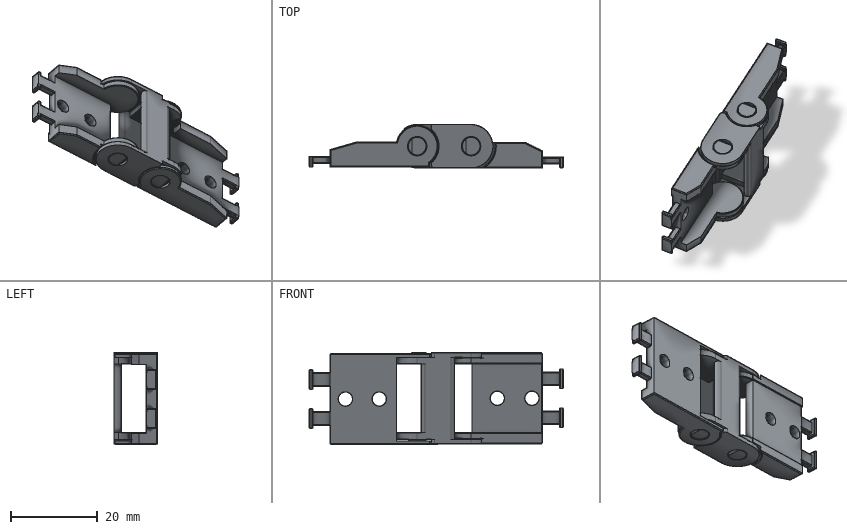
import cadquery as cq
import math


pivot_spacing = 12.45
left_pivot_x = -pivot_spacing / 2
right_pivot_x = pivot_spacing / 2
link_depth = 10.05
pivot_y = link_depth / 2
pin_radius = 2.05
pin_hole_radius = 2.25
ramp_offset = 1.25
ramp_angle = 38

half_width = 10.5
outer_ear_inside = 9.45
leaf_ear_inside = 9.65
inner_ear_outside = 9.3
inner_half_width = 7.95

link_ear_radius = link_depth / 2
link_shoulder = 3.3
shoulder_gap_radius = 5.05
shoulder_round = 0.7
inner_gap_radius = 5.15
inner_ear_end_x = 0.1
notch_corner = (-2.05, 1.6)
notch_wall_angle = 23
notch_floor_angle = 45
bar_thickness = 1.7
bar_left_x = -5.3
bar_right_x = 2.4

plate_thickness = 2.45
leaf_height = 5.8
hole_diameter = 3.25
edge_chamfer = 0.25

left_shift_y = 0.2
left_shift_z = -0.2
left_end_x = -26.3
left_plate_end = 4.75
left_slope_length = 10.4
left_slope_drop = 1.75
left_ear_radius = pivot_y - left_shift_y
left_ear_foot = 2.9
left_hole_distances = (3.5, 11.35)

right_end_x = 22.7
right_plate_start = 0.2
right_slope_length = 6.5
right_slope_drop = 1.9
right_ear_radius = 4.8
right_scallop_radius = 5.6
right_plate_recess = 0.2
right_hole_distances = (2.4, 10.4)

tab_reach = 4.9
tab_pitch = 9.0
tab_head_length = 0.95
tab_head_width = 4.6
tab_head_depth = 2.45
tab_stem_width = 3.2
tab_stem_depth = 1.6
tab_chamfer = 0.25


def slab(sketch, z_low, z_high):
    """Extrude a closed XY sketch from z_low up to z_high."""
    return sketch.extrude(z_high - z_low).translate((0, 0, z_low))


def box(x_range, y_range, z_range):
    """Axis-aligned box between the given limits."""
    size = [high - low for low, high in (x_range, y_range, z_range)]
    corner = (x_range[0], y_range[0], z_range[0])
    return cq.Workplane("XY").box(*size, centered=False).translate(corner)


def disc(x, radius, z_low, z_high, y=pivot_y):
    """Round disc at a pivot."""
    return slab(cq.Workplane("XY").center(x, y).circle(radius), z_low, z_high)


def both_sides(body):
    """A feature of the +Z side together with its mirror image on the -Z side."""
    return body.union(body.mirror("XY"))


def pin(x, z_low):
    """Pivot pin whose -X side has a lead-in ramp."""
    ramp_x = x - ramp_offset
    run = pin_radius
    drop = run * math.tan(math.radians(ramp_angle))
    ramp = (
        cq.Workplane("XZ")
        .polyline([(ramp_x, half_width), (ramp_x - run, half_width), (ramp_x - run, half_width - drop)])
        .close()
        .extrude(-link_depth)
    )
    return disc(x, pin_radius, z_low, half_width).cut(ramp)


def tab(outward):
    """T-shaped tab whose root lies on X = 0, Y = 0; outward is -1 for -X or 1 for +X."""
    stem = (
        cq.Workplane("XY")
        .box(tab_reach, tab_stem_depth, tab_stem_width)
        .edges("|X")
        .chamfer(tab_chamfer)
        .translate((outward * tab_reach / 2, tab_head_depth - tab_stem_depth / 2, 0))
    )
    head = (
        cq.Workplane("XY")
        .box(tab_head_length, tab_head_depth, tab_head_width)
        .edges("|Y or |Z")
        .chamfer(tab_chamfer)
        .translate((outward * (tab_reach - tab_head_length / 2), tab_head_depth / 2, 0))
    )
    return stem.union(head)


def add_end_features(leaf, end_x, outward, hole_distances):
    """Add both tabs at the outer end of a leaf and drill its screw holes."""
    for z in (-tab_pitch / 2, tab_pitch / 2):
        leaf = leaf.union(tab(outward).translate((end_x, 0, z)))
    for distance in hole_distances:
        drill = (
            cq.Workplane("XZ")
            .center(end_x - outward * distance, 0)
            .circle(hole_diameter / 2)
            .extrude(-link_depth)
        )
        leaf = leaf.cut(drill)
    return leaf


def cheek_outline(end_x, inner_x, slope_length, slope_drop, outward):
    """Side outline of a leaf cheek with a sloping outer end."""
    return (
        cq.Workplane("XY")
        .moveTo(inner_x, 0)
        .lineTo(end_x, 0)
        .lineTo(end_x, leaf_height - slope_drop)
        .lineTo(end_x - outward * slope_length, leaf_height)
        .lineTo(inner_x, leaf_height)
        .close()
    )


def make_left_leaf():
    """Left leaf: a plate between two cheeks that carry the outer ears."""
    axis_y = pivot_y - left_shift_y
    plate_end_x = left_pivot_x - left_plate_end
    plate = box(
        (left_end_x, plate_end_x), (0, plate_thickness), (-inner_half_width, inner_half_width)
    )

    def outline(inner_x):
        return cheek_outline(left_end_x, inner_x, left_slope_length, left_slope_drop, -0.6)

    cheek = slab(outline(plate_end_x), inner_half_width, leaf_ear_inside)
    cheek = cheek.cut(disc(left_pivot_x, inner_gap_radius, inner_half_width, leaf_ear_inside))

    foot = box(
        (left_pivot_x, left_pivot_x + left_ear_foot), (0, axis_y), (leaf_ear_inside, half_width)
    )
    ear = slab(outline(left_pivot_x), leaf_ear_inside, half_width)
    eye = disc(left_pivot_x, left_ear_radius, leaf_ear_inside, half_width, axis_y)
    pin_hole = disc(left_pivot_x, pin_hole_radius, leaf_ear_inside, half_width, axis_y)
    ear = ear.union(eye).union(foot)
    ear = ear.faces(">Z").chamfer(edge_chamfer)
    ear = ear.cut(pin_hole)

    leaf = plate.union(both_sides(cheek.union(ear)))
    leaf = add_end_features(leaf, left_end_x, -1, left_hole_distances)
    return leaf.translate((0, left_shift_y, left_shift_z))


def make_right_leaf():
    """Right leaf: a recessed plate between two cheeks that carry the inner ears and their pins."""
    plate = box(
        (right_pivot_x + right_plate_start, right_end_x),
        (right_plate_recess, plate_thickness),
        (-inner_half_width, inner_half_width),
    )
    plate = plate.edges("|Z and >X and <Y").chamfer(edge_chamfer)
    outline = cheek_outline(right_end_x, right_pivot_x, right_slope_length, right_slope_drop, 0.6)
    cheek = slab(outline, inner_half_width, half_width)
    cheek = cheek.cut(disc(right_pivot_x, right_scallop_radius, inner_ear_outside, half_width))
    cheek = cheek.faces(">Z").chamfer(edge_chamfer)
    cheek = cheek.faces("<Z").edges("<Y").chamfer(right_plate_recess)
    ear = disc(right_pivot_x, right_ear_radius, inner_half_width, inner_ear_outside)
    ear = ear.faces("<Z").chamfer(right_plate_recess)
    cheek = cheek.union(ear).union(pin(right_pivot_x, inner_ear_outside))
    leaf = plate.union(both_sides(cheek))
    return add_end_features(leaf, right_end_x, 1, right_hole_distances)


def stop_notch():
    """Stop notch in the rim of an inner link ear; wall and floor run out through the rim."""
    corner_x, corner_y = notch_corner
    rim_x = -link_ear_radius
    wall_run = (link_ear_radius - corner_y) * math.tan(math.radians(notch_wall_angle))
    floor_drop = (corner_x - rim_x) * math.tan(math.radians(notch_floor_angle))
    sketch = (
        cq.Workplane("XY", origin=(left_pivot_x, pivot_y, 0))
        .moveTo(corner_x, corner_y)
        .lineTo(corner_x - wall_run, link_ear_radius)
        .lineTo(rim_x, link_ear_radius)
        .lineTo(rim_x, corner_y - floor_drop)
        .close()
    )
    return slab(sketch, inner_half_width, outer_ear_inside)


def link_bar(y_low):
    """Bar with half-round edges that ties the two sides of the link together."""
    length = bar_right_x - bar_left_x
    sketch = (
        cq.Workplane("XY")
        .center((bar_left_x + bar_right_x) / 2, y_low + bar_thickness / 2)
        .slot2D(length, bar_thickness)
    )
    return slab(sketch, -outer_ear_inside, outer_ear_inside)


def make_link():
    """Link: inner ears with pins on the left, outer ears with pin holes on the right, two tie bars."""
    inner = disc(left_pivot_x, link_ear_radius, inner_half_width, outer_ear_inside)
    inner = inner.union(
        box((left_pivot_x, inner_ear_end_x), (0, link_depth), (inner_half_width, outer_ear_inside))
    )
    inner = inner.cut(stop_notch())

    outer = box(
        (left_pivot_x + link_shoulder, right_pivot_x), (0, link_depth), (outer_ear_inside, half_width)
    )
    outer = outer.edges("|Z and <X and <Y").fillet(shoulder_round)
    outer = outer.cut(disc(left_pivot_x, shoulder_gap_radius, outer_ear_inside, half_width))
    outer = outer.union(disc(right_pivot_x, link_ear_radius, outer_ear_inside, half_width))
    outer = outer.cut(disc(right_pivot_x, pin_hole_radius, outer_ear_inside, half_width))

    side = inner.union(outer).union(pin(left_pivot_x, outer_ear_inside))
    link = both_sides(side)
    for y_low in (0, link_depth - bar_thickness):
        link = link.union(link_bar(y_low))
    return link


left_leaf = make_left_leaf()
link = make_link()
right_leaf = make_right_leaf()
result = cq.Compound.makeCompound(
    [
        *left_leaf.solids().vals(),
        *link.solids().vals(),
        *right_leaf.solids().vals(),
    ]
)